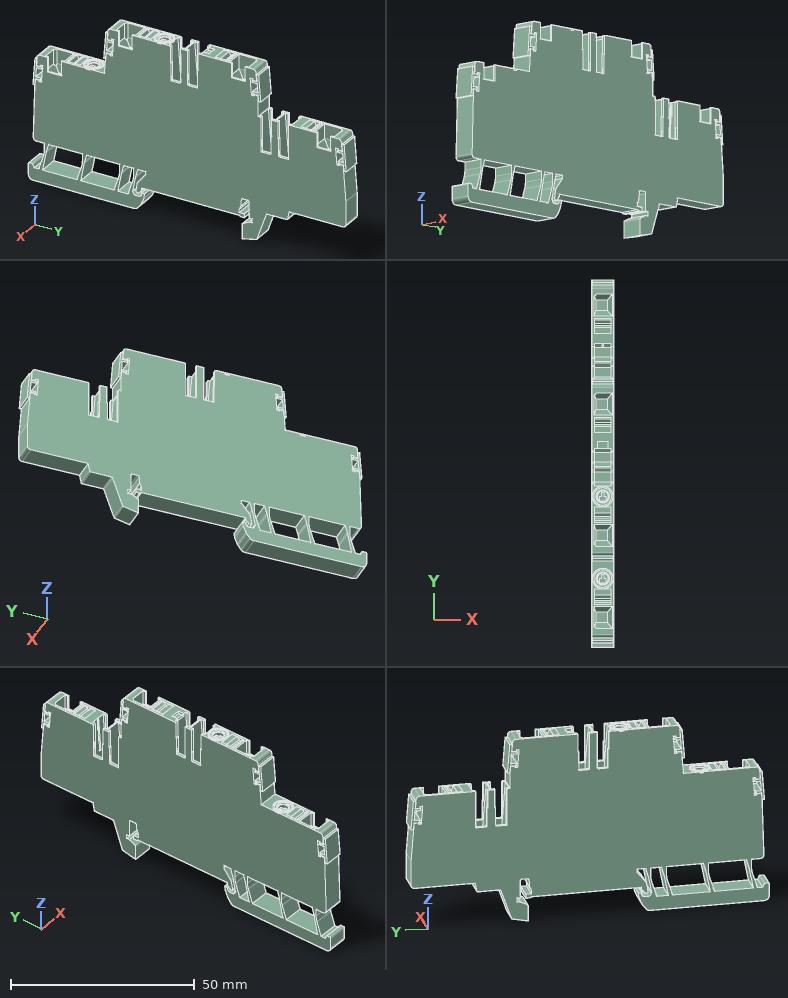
import cadquery as cq
import math


THICKNESS = 6.1
LENGTH = 100.2
HEIGHT = 53.6
LOWER_TOP = 39.4
BODY_BOTTOM = 12.4
BODY_END = LENGTH / 2
OVERSHOOT = 1.0

END_TAPER = 0.08
UPPER_LEFT_END = 21.6
UPPER_RIGHT_END = -24.9
LOWER_LEFT_END = 48.6
LOWER_RIGHT_END = -47.3
BODY_RIGHT_END = -48.6
TOP_ROUND = 0.9
CORNER_ROUND = 1.0

CONNECTIONS = [
    (LOWER_LEFT_END, LOWER_TOP, 1, False),
    (UPPER_LEFT_END, HEIGHT, 1, False),
    (UPPER_RIGHT_END, HEIGHT, -1, True),
    (LOWER_RIGHT_END, LOWER_TOP, -1, True),
]

MARKER_WIDTH = 5.7
MARKER_THICKNESS = 0.7
MARKER_DROP_TOP = 1.5
MARKER_DROP_BOTTOM = 9.7
WINDOW_DROP_TOP = 3.1
WINDOW_DROP_BOTTOM = 8.2
WINDOW_DEPTH = 2.0
LIP_DROP_TOP = 3.6
LIP_DROP_BOTTOM = 7.8
LIP_DEPTH = 1.3
LEG_THICKNESS = 0.7
BARB_DEPTH = 0.4
BARB_HEIGHT = 0.4

FUNNEL_START = 2.4
FUNNEL_LENGTH = 6.0
FUNNEL_X = (-2.4, 2.6)
FUNNEL_STRAIGHT_DEPTH = 4.5
FUNNEL_DEPTH = 7.0
FUNNEL_CHAMFER = 0.7
FLOOR_START = 4.0
FLOOR_LENGTH = 2.9
FLOOR_X = (-1.9, 1.3)
NOTCH_START = 3.3
NOTCH_LENGTH = 4.3

PUSHER_START = 9.0
PUSHER_LENGTH = 4.1
PUSHER_WIDTH = 4.6
PUSHER_DEPTH = 8.0
GROOVE_CENTRE = 1.5
GROOVE = [(1.0, 0), (0.1, 0.6), (-0.4, 1.4), (-1.0, 0)]

SOCKET_START = 16.0
SOCKET_RADIUS = 1.5
SOCKET_DEPTH = 4.0
MOUTH_RADIUS = 1.8
MOUTH_DEPTH = 0.5
RING_OUTER_RADIUS = 2.8
RING_INNER_RADIUS = 2.4
RING_DEPTH = 0.4
CONTACT_BASE = (1.7, 1.2)
CONTACT_STEM = (0.7, 1.1)
CONTACT_HEIGHT = 3.0

LOWER_TAB_Y = 27.7
UPPER_TAB_Y = -0.9
SLOT_DEPTH = 10.7
STEP_DEPTH = 5.2
SLOT_ROUND = 0.4
LOWER_TAB_HALF = (1.0, 1.2)
LOWER_WALL_HALF = (4.3, 4.3)
UPPER_TAB_HALF = (1.1, 1.1)
UPPER_WALL_HALF = (4.3, 4.1)
CHANNEL_WIDTH = 4.5
CHANNEL_DEPTH = 15.0
CHANNEL_TOP = (0.2, 5.1)
CHANNEL_FLOOR = (1.4, 4.0)
KEY_POCKET = (2.8, 1.8, 0.8)
WALL_GROOVE_WIDTH = 0.5

RAIL_Z = 7.0
BASE_TOP = 4.0
RIB_SHIFT = 1.8
RIB_BEND_RADIUS = 6.0
RIB_Y = [-15.9, -20.3, -32.1, -44.1]


def rounded_profile(corners):
    """Closed wire in the YZ plane from (y, z, radius) corners; radius 0 keeps a corner sharp."""
    path = None
    for index, (y, z, radius) in enumerate(corners):
        here = cq.Vector(y, z)
        if radius == 0:
            stops = [here]
        else:
            before = (cq.Vector(*corners[index - 1][:2]) - here).normalized()
            after = (cq.Vector(*corners[(index + 1) % len(corners)][:2]) - here).normalized()
            half_angle = before.getAngle(after) / 2
            tangent = radius / math.tan(half_angle)
            bisector = (before + after).normalized()
            middle = here + bisector * (radius / math.sin(half_angle) - radius)
            stops = [here + before * tangent, middle, here + after * tangent]
        stops = [stop.toTuple()[:2] for stop in stops]
        if path is None:
            path = cq.Workplane("YZ").moveTo(*stops[0])
        else:
            path = path.lineTo(*stops[0])
        if radius > 0:
            path = path.threePointArc(stops[1], stops[2])
    return path.close()


def slab(corners, width=THICKNESS):
    """Solid of the given width, centred on X = 0, with a rounded YZ outline."""
    return rounded_profile(corners).extrude(width / 2, both=True)


def sharp(points):
    return [(y, z, 0) for y, z in points]


def top_box(x_range, y_a, y_b, z_top, depth):
    """Box from depth below z_top up to a little above it."""
    low_y = min(y_a, y_b)
    return cq.Workplane("XY").box(
        x_range[1] - x_range[0], abs(y_b - y_a), depth + OVERSHOOT, centered=False
    ).translate((x_range[0], low_y, z_top - depth))


def end_face_y(end_y, outward, drop, inset=0.0):
    """Y of the tapered end face at a drop below the level top, moved inward by inset."""
    return end_y + outward * (END_TAPER * drop - inset)


def end_profile(end_y, z_top, outward, inset_drops):
    """YZ points from (inset, drop) pairs that follow the tapered end face."""
    return sharp([(end_face_y(end_y, outward, drop, inset), z_top - drop) for inset, drop in inset_drops])


def slot_pair(tab_y, z_top, wall_half, tab_half):
    """Outline corners, from +Y to -Y, of the two slots on either side of a tab."""
    step_z = z_top - STEP_DEPTH
    floor_z = z_top - SLOT_DEPTH
    wall = [(wall_half[0], z_top, SLOT_ROUND)]
    if wall_half[0] != wall_half[1]:
        wall += [(wall_half[0], step_z, 0), (wall_half[1], step_z, 0)]
    floor = [(wall_half[1], floor_z, 0), (tab_half[1], floor_z, SLOT_ROUND)]
    tab = [(tab_half[0], z_top, 0)]
    if tab_half[0] != tab_half[1]:
        tab = [(tab_half[1], step_z, 0), (tab_half[0], step_z, 0)] + tab
    half = wall + floor + tab
    plus_side = [(tab_y + run, z, radius) for run, z, radius in half]
    minus_side = [(tab_y - run, z, radius) for run, z, radius in reversed(half)]
    return plus_side + minus_side


def block():
    left_step_y = end_face_y(UPPER_LEFT_END, 1, MARKER_DROP_BOTTOM)
    right_step_y = end_face_y(UPPER_RIGHT_END, -1, HEIGHT - LOWER_TOP)
    left_taper_drop = (BODY_END - LOWER_LEFT_END) / END_TAPER
    right_taper_y = end_face_y(LOWER_RIGHT_END, -1, MARKER_DROP_BOTTOM)
    return slab([
        (BODY_END, BODY_BOTTOM, CORNER_ROUND),
        (BODY_END, LOWER_TOP - left_taper_drop, 0),
        (LOWER_LEFT_END, LOWER_TOP, TOP_ROUND),
        *slot_pair(LOWER_TAB_Y, LOWER_TOP, LOWER_WALL_HALF, LOWER_TAB_HALF),
        (left_step_y, LOWER_TOP, 0),
        (left_step_y, HEIGHT - MARKER_DROP_BOTTOM, 0),
        (UPPER_LEFT_END, HEIGHT, TOP_ROUND),
        *slot_pair(UPPER_TAB_Y, HEIGHT, UPPER_WALL_HALF, UPPER_TAB_HALF),
        (UPPER_RIGHT_END, HEIGHT, TOP_ROUND),
        (right_step_y, LOWER_TOP, 0),
        (LOWER_RIGHT_END, LOWER_TOP, TOP_ROUND),
        (right_taper_y, LOWER_TOP - MARKER_DROP_BOTTOM, 0),
        (BODY_RIGHT_END, BODY_BOTTOM, CORNER_ROUND),
    ])


def rail_side():
    """Fixed hook, slot for the rail edge, seat on the rail, and a tapering tongue at -Y."""
    return slab([
        (32.2, BODY_BOTTOM + OVERSHOOT, 0),
        (32.2, BODY_BOTTOM, 0),
        (31.7, 9.8, 0.3),
        (25.0, 9.8, 0.3),
        (21.9, 1.0, 0.3),
        (17.3, 0.0, 0),
        (17.3, 4.7, 0.3),
        (19.5, 5.8, 0),
        (20.4, 5.8, 0),
        (20.4, RAIL_Z, 0),
        (19.5, RAIL_Z, 0),
        (19.5, BODY_BOTTOM, 0.5),
        (17.1, BODY_BOTTOM, 0.5),
        (16.9, 10.0, 0),
        (16.4, 8.9, 0),
        (16.4, 7.9, 0),
        (18.0, 7.9, 0),
        (18.0, 6.7, 0),
        (16.9, 6.7, 0),
        (16.4, RAIL_Z, 0),
        (-14.3, RAIL_Z, 0),
        (-14.3, 6.3, 0),
        (-15.2, 5.2, 0),
        (-16.2, 5.2, 0.3),
        (-15.7, 8.2, 1.0),
        (-13.1, 11.5, 0),
        (-13.1, BODY_BOTTOM + OVERSHOOT, 0),
    ])


def release_foot():
    """Long foot bar with a catch at its +Y end and a raised finger edge at its -Y end."""
    return slab([
        (-13.4, 5.4, 0),
        (-13.6, 4.0, 0),
        (-14.5, 1.9, 1.5),
        (-16.0, 0.0, 1.5),
        (-LENGTH / 2, 0.0, 1.5),
        (-LENGTH / 2, 5.1, 0.3),
        (-48.7, 5.1, 0.3),
        (-48.2, BASE_TOP, 0),
        (-18.3, BASE_TOP, 0),
        (-17.0, 5.4, 0),
        (-16.9, 4.2, 0.8),
        (-14.4, 4.2, 0.8),
        (-14.4, 5.4, 0),
    ])


def spring_rib(top_y):
    """Leaning rib, straight at the top, that carries the release foot."""
    bottom_y = top_y - RIB_SHIFT
    return slab([
        (top_y + 0.4, BODY_BOTTOM + OVERSHOOT, 0),
        (top_y + 0.4, BODY_BOTTOM, 0),
        (top_y - 0.3, 10.0, RIB_BEND_RADIUS),
        (bottom_y + 0.3, BASE_TOP, 0),
        (bottom_y + 0.3, BASE_TOP - OVERSHOOT, 0),
        (bottom_y - 0.9, BASE_TOP - OVERSHOOT, 0),
        (bottom_y - 0.9, BASE_TOP, 0),
        (top_y - 1.0, 9.2, RIB_BEND_RADIUS),
        (top_y - 1.0, BODY_BOTTOM + OVERSHOOT, 0),
    ])


def jumper_channel(tab_y, z_top, side):
    """Tapered pocket inside the slot, deeper than the slot and closed at both X sides."""
    return slab(sharp([
        (tab_y + side * CHANNEL_TOP[0], z_top),
        (tab_y + side * CHANNEL_TOP[1], z_top),
        (tab_y + side * CHANNEL_FLOOR[1], z_top - CHANNEL_DEPTH),
        (tab_y + side * CHANNEL_FLOOR[0], z_top - CHANNEL_DEPTH),
    ]), CHANNEL_WIDTH)


def marker_window(end_y, z_top, outward):
    """Opening in the end face, narrowed at its mouth by two lips."""
    return slab(end_profile(end_y, z_top, outward, [
        (-OVERSHOOT, LIP_DROP_TOP),
        (LIP_DEPTH, LIP_DROP_TOP),
        (LIP_DEPTH, WINDOW_DROP_TOP),
        (WINDOW_DEPTH, WINDOW_DROP_TOP),
        (WINDOW_DEPTH, WINDOW_DROP_BOTTOM),
        (LIP_DEPTH, WINDOW_DROP_BOTTOM),
        (LIP_DEPTH, LIP_DROP_BOTTOM),
        (-OVERSHOOT, LIP_DROP_BOTTOM),
    ]))


def wire_funnel(end_y, z_top, outward):
    """Straight entry, then a funnel to a flat floor, with a cut-out in the +X wall."""
    start = end_y - outward * FUNNEL_START
    finish = start - outward * FUNNEL_LENGTH
    entry = top_box(FUNNEL_X, start, finish, z_top, FUNNEL_STRAIGHT_DEPTH)
    floor_middle_y = end_y - outward * (FLOOR_START + FLOOR_LENGTH / 2)
    entry_middle = (sum(FUNNEL_X) / 2, (start + finish) / 2)
    floor_middle = (sum(FLOOR_X) / 2, floor_middle_y)
    taper = (
        cq.Workplane("XY", origin=(*floor_middle, z_top - FUNNEL_DEPTH))
        .rect(FLOOR_X[1] - FLOOR_X[0], FLOOR_LENGTH)
        .workplane(offset=FUNNEL_DEPTH - FUNNEL_STRAIGHT_DEPTH)
        .center(entry_middle[0] - floor_middle[0], entry_middle[1] - floor_middle[1])
        .rect(FUNNEL_X[1] - FUNNEL_X[0], FUNNEL_LENGTH)
        .loft()
    )
    notch_start = end_y - outward * NOTCH_START
    notch_end = notch_start - outward * NOTCH_LENGTH
    notch = top_box((0, THICKNESS), notch_start, notch_end, z_top, FUNNEL_STRAIGHT_DEPTH)
    corner = (
        cq.Workplane("XY", origin=(FUNNEL_X[0], start, z_top - FUNNEL_DEPTH))
        .polyline([(0, 0), (FUNNEL_CHAMFER, 0), (0, -outward * FUNNEL_CHAMFER)])
        .close()
        .extrude(FUNNEL_DEPTH + OVERSHOOT)
    )
    return entry.union(taper).cut(corner).union(notch)


def pusher_blank(end_y, z_top, outward):
    start = end_y - outward * PUSHER_START
    return slab(sharp([
        (start, z_top),
        (start - outward * PUSHER_LENGTH, z_top),
        (start - outward * PUSHER_LENGTH, z_top - PUSHER_DEPTH),
        (start, z_top - PUSHER_DEPTH),
    ]), PUSHER_WIDTH)


def test_socket(end_y, z_top, outward):
    """Round hole around a T-shaped contact, inside a shallow ring groove."""
    centre = (0, end_y - outward * SOCKET_START, z_top)
    top = cq.Workplane("XY", origin=centre)
    mouth = top.circle(MOUTH_RADIUS).extrude(-MOUTH_DEPTH)
    hole = top.circle(SOCKET_RADIUS).extrude(-SOCKET_DEPTH)
    ring = top.circle(RING_OUTER_RADIUS).circle(RING_INNER_RADIUS).extrude(-RING_DEPTH)
    contact = (
        top.workplane(offset=-SOCKET_DEPTH)
        .center(0, -CONTACT_BASE[1] / 2)
        .rect(*CONTACT_BASE)
        .extrude(CONTACT_HEIGHT)
        .union(
            top.workplane(offset=-SOCKET_DEPTH)
            .center(0, CONTACT_STEM[1] / 2)
            .rect(*CONTACT_STEM)
            .extrude(CONTACT_HEIGHT)
        )
    )
    return hole.cut(contact).union(mouth).union(ring)


def key_pocket():
    """Small shallow pocket beside the upper jumper channel."""
    width, length, depth = KEY_POCKET
    start = UPPER_TAB_Y + CHANNEL_TOP[1]
    return top_box((-width / 2, width / 2), start, start + length, HEIGHT, depth)


def wall_groove():
    """Narrow upright groove in the middle of the +Y wall of the lower jumper channel."""
    wall_y = LOWER_TAB_Y + CHANNEL_TOP[1]
    half_width = WALL_GROOVE_WIDTH / 2
    slot_wall_y = LOWER_TAB_Y + LOWER_WALL_HALF[1]
    return top_box((-half_width, half_width), slot_wall_y, wall_y, LOWER_TOP, SLOT_DEPTH)


def make_housing():
    body = block().union(rail_side()).union(release_foot())
    for rib_y in RIB_Y:
        body = body.union(spring_rib(rib_y))
    for tab_y, z_top in [(LOWER_TAB_Y, LOWER_TOP), (UPPER_TAB_Y, HEIGHT)]:
        for side in (1, -1):
            body = body.cut(jumper_channel(tab_y, z_top, side))
    for end_y, z_top, outward, has_socket in CONNECTIONS:
        body = body.cut(marker_window(end_y, z_top, outward))
        body = body.cut(wire_funnel(end_y, z_top, outward))
        body = body.cut(pusher_blank(end_y, z_top, outward))
        if has_socket:
            body = body.cut(test_socket(end_y, z_top, outward))
    return body.cut(key_pocket()).cut(wall_groove())


def make_pusher(end_y, z_top, outward):
    """Spring-release pusher with a screwdriver groove across its top."""
    start = end_y - outward * PUSHER_START
    centre_y = start - outward * GROOVE_CENTRE
    groove = slab(sharp([(centre_y + run, z_top - depth) for run, depth in GROOVE]))
    return pusher_blank(end_y, z_top, outward).cut(groove)


def make_marker(end_y, z_top, outward):
    """Marker plate on the end face with two barbed legs in the window."""
    barb_end = LIP_DEPTH + BARB_DEPTH
    return slab(end_profile(end_y, z_top, outward, [
        (-MARKER_THICKNESS, MARKER_DROP_TOP),
        (0, MARKER_DROP_TOP),
        (0, LIP_DROP_TOP),
        (LIP_DEPTH, LIP_DROP_TOP),
        (LIP_DEPTH, LIP_DROP_TOP - BARB_HEIGHT),
        (barb_end, LIP_DROP_TOP + LEG_THICKNESS),
        (0, LIP_DROP_TOP + LEG_THICKNESS),
        (0, LIP_DROP_BOTTOM - LEG_THICKNESS),
        (barb_end, LIP_DROP_BOTTOM - LEG_THICKNESS),
        (LIP_DEPTH, LIP_DROP_BOTTOM + BARB_HEIGHT),
        (LIP_DEPTH, LIP_DROP_BOTTOM),
        (0, LIP_DROP_BOTTOM),
        (0, MARKER_DROP_BOTTOM),
        (-MARKER_THICKNESS, MARKER_DROP_BOTTOM),
    ]), MARKER_WIDTH)


housing = make_housing()
pushers = [make_pusher(end_y, z_top, outward) for end_y, z_top, outward, _ in CONNECTIONS]
markers = [make_marker(end_y, z_top, outward) for end_y, z_top, outward, _ in CONNECTIONS]

result = cq.Compound.makeCompound([
    housing.val(),
    *[pusher.val() for pusher in pushers],
    *[marker.val() for marker in markers],
])